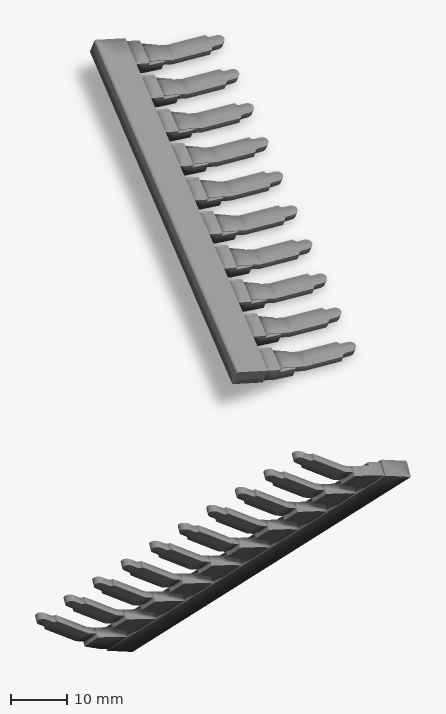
import cadquery as cq
import math

bar_length = 80.0
bar_depth = 6.0
bar_thickness = 3.1
bar_edge_chamfer = 0.2
tilt = math.radians(17.2)

prong_count = 10
prong_pitch = 8.2
prong_root = bar_depth / 2

neck_end = 8.2
step_end = 8.9
collar_end = 12.3
bend_station = 14.0
shoulder_station = 20.9
tip_station = 23.7

collar_bottom = 0.2
neck_top = 2.7
collar_top = 2.1
blade_top = 2.2
blade_thickness = 1.2

neck_width = 5.5
collar_end_width = 4.1
blade_width = 3.6
tip_width = 2.2
collar_corner_radius = 0.3

down_slope = cq.Vector(0, math.cos(tilt), -math.sin(tilt))
slope_normal = cq.Vector(0, math.sin(tilt), math.cos(tilt))


def slope_sketch(height=0.0):
    """Workplane parallel to the slope: local x is X, local y runs down the slope."""
    origin = slope_normal * height
    return cq.Workplane(cq.Plane(origin=origin, xDir=(1, 0, 0), normal=slope_normal))


def slope_point(station, height):
    """Y and Z of the point at this station and height on the slope."""
    point = down_slope * station + slope_normal * height
    return point.y, point.z


def make_bar():
    """Rectangular strip with its top front edge chamfered."""
    bar = (
        slope_sketch()
        .center(0, bar_depth / 2)
        .rect(bar_length, bar_depth)
        .extrude(bar_thickness)
    )
    return bar.edges("|X and >Z").chamfer(bar_edge_chamfer)


def make_collar(end, top):
    """Straight neck and narrowing collar, cut off at the given station and height."""
    narrowed_share = (end - neck_end) / (collar_end - neck_end)
    half_neck = neck_width / 2
    half_end = half_neck - narrowed_share * (neck_width - collar_end_width) / 2
    return (
        slope_sketch(collar_bottom)
        .polyline([
            (-half_neck, prong_root),
            (half_neck, prong_root),
            (half_neck, neck_end),
            (half_end, end),
            (-half_end, end),
            (-half_neck, neck_end),
        ])
        .close()
        .extrude(top - collar_bottom)
    )


def make_rounded_collar():
    """Full-length low collar with the two upright corners of its far end rounded."""
    collar = make_collar(collar_end, collar_top)
    far_face = collar.faces(cq.selectors.DirectionMinMaxSelector(down_slope))
    corners = far_face.edges(cq.selectors.ParallelDirSelector(slope_normal))
    return corners.fillet(collar_corner_radius)


def make_blade_strip():
    """Plain strip that follows the slope and then bends level."""
    blade_bottom = blade_top - blade_thickness
    bend_shift = blade_thickness * math.tan(tilt / 2)
    top_bend = slope_point(bend_station, blade_top)
    bottom_bend = slope_point(bend_station + bend_shift, blade_bottom)
    beyond_tip = tip_station + bar_depth
    return (
        cq.Workplane("YZ")
        .polyline([
            slope_point(prong_root, blade_top),
            top_bend,
            (beyond_tip, top_bend[1]),
            (beyond_tip, bottom_bend[1]),
            bottom_bend,
            slope_point(prong_root, blade_bottom),
        ])
        .close()
        .extrude(blade_width / 2, both=True)
    )


def make_blade_outline():
    """Prism, square to the slope, with hollow round shoulders and a half-round tip."""
    half_blade = blade_width / 2
    half_tip = tip_width / 2
    shoulder_radius = half_blade - half_tip
    shoulder_end = shoulder_station + shoulder_radius
    arc_inset = shoulder_radius * (1 - math.sqrt(0.5))
    arc_middle_x = half_tip + arc_inset
    arc_middle_y = shoulder_station + arc_inset
    tip_start = tip_station - half_tip
    above_blade = bar_depth
    return (
        slope_sketch()
        .moveTo(-half_blade, prong_root)
        .lineTo(half_blade, prong_root)
        .lineTo(half_blade, shoulder_station)
        .threePointArc((arc_middle_x, arc_middle_y), (half_tip, shoulder_end))
        .lineTo(half_tip, tip_start)
        .threePointArc((0, tip_station), (-half_tip, tip_start))
        .lineTo(-half_tip, shoulder_end)
        .threePointArc((-arc_middle_x, arc_middle_y), (-half_blade, shoulder_station))
        .close()
        .extrude(above_blade)
    )


def make_prong():
    """Neck with its step, low collar and bent blade."""
    blade = make_blade_strip().intersect(make_blade_outline())
    return make_collar(step_end, neck_top).union(make_rounded_collar()).union(blade)


prong = make_prong()
result = make_bar()
for index in range(prong_count):
    prong_x = (index - (prong_count - 1) / 2) * prong_pitch
    result = result.union(prong.translate((prong_x, 0, 0)))